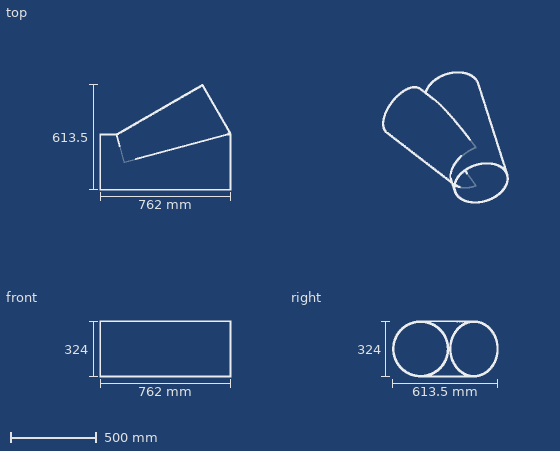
import cadquery as cq
import math

outer_diameter = 324.0
bore_diameter = 315.0

run_length = 762.0

branch_angle = 30.0
branch_start = 139.0
branch_length = 622.5

angle = math.radians(branch_angle)
run_direction = cq.Vector(1, 0, 0)
branch_direction = cq.Vector(math.cos(angle), math.sin(angle), 0)
axes_meeting_point = cq.Vector(branch_start, 0, 0)


def wye(diameter):
    """Solid union of the run and branch cylinders of one diameter."""
    radius = diameter / 2
    run = cq.Solid.makeCylinder(radius, run_length, cq.Vector(0, 0, 0), run_direction)
    branch = cq.Solid.makeCylinder(radius, branch_length, axes_meeting_point, branch_direction)
    return cq.Workplane(obj=run).union(cq.Workplane(obj=branch))


result = wye(outer_diameter).cut(wye(bore_diameter))